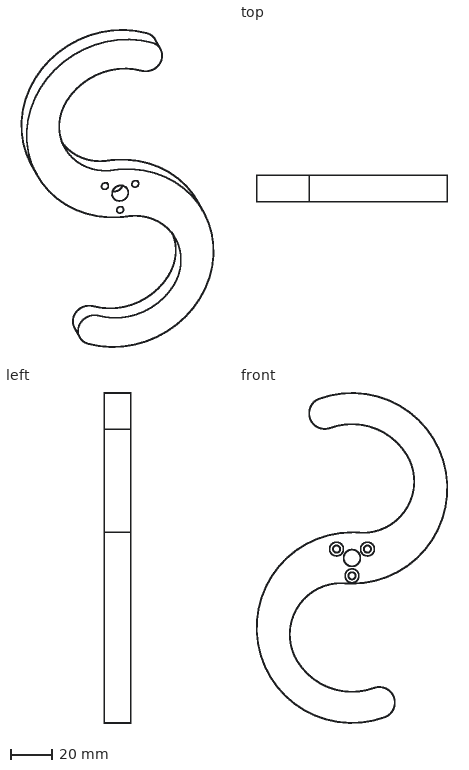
import cadquery as cq
import math

height = 160.0
width = 92.5
thickness = 13.0

outer_radius = width / 2
inner_radius = 31.0
hook_center_z = height / 2 - outer_radius
tip_angle = 20.0
tip_radius = (outer_radius - inner_radius) / 2
middle_radius = (outer_radius + inner_radius) / 2

waist_half_height = outer_radius - hook_center_z
blend_x = 5.3
blend_dip = 0.24
blend_low_z = waist_half_height - blend_dip
rise_to_hook = hook_center_z - blend_low_z
blend_radius = (inner_radius**2 - blend_x**2 - rise_to_hook**2) / (2 * (inner_radius - rise_to_hook))
blend_z = blend_low_z + blend_radius
flat_end_x = blend_x - math.sqrt(blend_radius**2 - (blend_radius - blend_dip) ** 2)

center_hole_diameter = 8.0
screw_hole_diameter = 3.4
countersink_diameter = 6.7
countersink_angle = 90.0
screw_circle_radius = 8.6
screw_angles = (30, 150, 270)


def polar(center, radius, degrees):
    """Point at an angle on a circle in the XZ plane."""
    angle = math.radians(degrees)
    return (center[0] + radius * math.cos(angle), center[1] + radius * math.sin(angle))


def opposite(point):
    """Point turned half a turn about the Y axis."""
    return (-point[0], -point[1])


def make_body():
    hook_center = (0, hook_center_z)
    blend_center = (blend_x, blend_z)
    tip_direction = 90 + tip_angle
    tip_center = polar(hook_center, middle_radius, tip_direction)
    join_angle = math.degrees(math.atan2(blend_z - hook_center_z, blend_x))

    waist_bottom = (0, -waist_half_height)
    outer_middle = polar(hook_center, outer_radius, 0)
    tip_outer = polar(hook_center, outer_radius, tip_direction)
    tip_end = polar(tip_center, tip_radius, tip_direction + 90)
    tip_inner = polar(hook_center, inner_radius, tip_direction)
    inner_middle = polar(hook_center, inner_radius, (tip_direction + join_angle) / 2)
    join = polar(hook_center, inner_radius, join_angle)
    blend_middle = polar(blend_center, blend_radius, (join_angle - 90) / 2)
    blend_end = (flat_end_x, waist_half_height)

    arcs = (
        (outer_middle, tip_outer),
        (tip_end, tip_inner),
        (inner_middle, join),
        (blend_middle, blend_end),
    )
    outline = cq.Workplane("XZ").moveTo(*waist_bottom)
    for middle, end in arcs:
        outline = outline.threePointArc(middle, end)
    outline = outline.lineTo(*opposite(waist_bottom))
    for middle, end in arcs:
        outline = outline.threePointArc(opposite(middle), opposite(end))
    return outline.close().extrude(thickness / 2, both=True)


def drill_holes(body):
    front = cq.Workplane("XZ", origin=(0, -thickness / 2, 0))
    screw_points = [polar((0, 0), screw_circle_radius, angle) for angle in screw_angles]
    drilled = body.cut(front.circle(center_hole_diameter / 2).extrude(-thickness))
    return (
        drilled.copyWorkplane(front)
        .pushPoints(screw_points)
        .cskHole(screw_hole_diameter, countersink_diameter, countersink_angle)
    )


result = drill_holes(make_body())